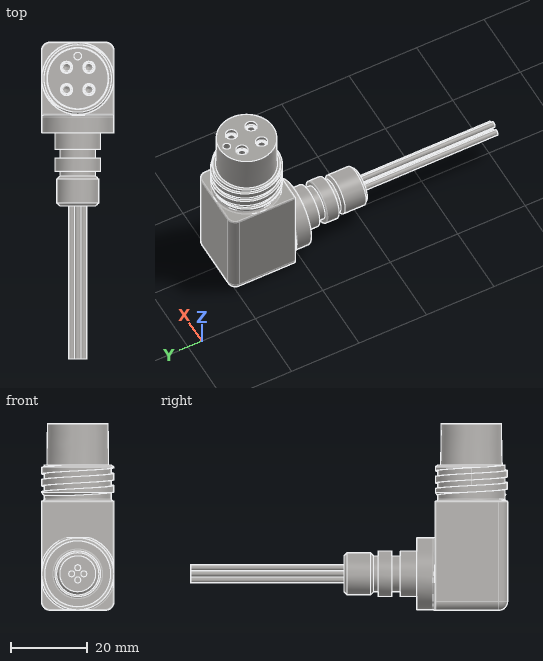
import cadquery as cq
import math


total_length = 82.85
total_height = 48.77

block_width = 19.05
half_width = block_width / 2
block_height = 28.575
block_round = 2.38
edge_round = 0.25

plug_dia = 15.88
root_dia = 17.63
thread_dia = 18.85
plug_base_dia = 16.2
base_flare = 0.5
collar_top = 38.0
thread_bottom = 30.0
thread_bottom_bevel = 0.75
thread_top_bevel = 0.5
thread_pitch = 3.175
thread_width = 1.7
thread_mid_back = 35.74
thread_turns = range(-2, 1)
thread_overlap = 0.4

socket_circle_dia = 8.255
socket_dia = 3.17
socket_depth = 1.3
contact_dia = 2.06
contact_depth = 8.0
shoulder_dia = 2.72
shoulder_height = 0.25
drill_tip_height = contact_dia / 2 * math.tan(math.radians(31))
key_dia = 1.98
key_depth = 3.0
key_offset = 5.86

cable_axis_z = 9.56
flange_dia = 18.85
flange_front = 14.29
recess_dia = 17.2
recess_depth = 0.75
rim_round = 0.15

relief_dia = 11.94
relief_root_fillet = 0.5
groove_dia = 9.4
groove_start = 18.6
groove_end = 20.75
rib_end = 24.35
nose_dia = 11.02
nose_chamfer = (nose_dia - groove_dia) / 2
nose_start = 25.5

wire_dia = 1.57
wire_circle_dia = 3.18
wire_length = 40.0
wire_end = total_length - half_width
nose_end = wire_end - wire_length


def along_cable(solid):
    """Turn a solid built on +Z so that it points to -Y on the cable axis."""
    return solid.rotate((0, 0, 0), (1, 0, 0), 90).translate((0, 0, cable_axis_z))


def flared_cylinder(radius, start, end, flare):
    """Cylinder along Z with a concave round at its start."""
    sag = flare * (1 - math.sqrt(0.5))
    return (
        cq.Workplane("XZ")
        .moveTo(0, start)
        .lineTo(radius + flare, start)
        .threePointArc((radius + sag, start + sag), (radius, start + flare))
        .lineTo(radius, end)
        .lineTo(0, end)
        .close()
        .revolve(360, (0, 0, 0), (0, 1, 0))
    )


def make_block():
    block = cq.Workplane("XY").box(block_width, block_width, block_height, centered=(True, True, False))
    block = block.edges("(|Z and >Y) or (<Z and (not <Y))").fillet(block_round)
    return block.faces("<Y or >Z").edges().fillet(edge_round)


def make_thread_turns():
    """Turns of a right-handed square tooth, trimmed to a cone at both ends."""
    root_radius = root_dia / 2
    crest_radius = thread_dia / 2
    inner_radius = root_radius - thread_overlap
    tooth_depth = crest_radius + thread_overlap - inner_radius
    helix = cq.Wire.makeHelix(thread_pitch, thread_pitch, inner_radius)
    one_turn = (
        cq.Workplane("XZ")
        .center(inner_radius + tooth_depth / 2, 0)
        .rect(tooth_depth, thread_width)
        .sweep(cq.Workplane(obj=helix), isFrenet=True)
        .rotate((0, 0, 0), (0, 0, 1), 90)
        .translate((0, 0, thread_mid_back))
    )
    envelope = (
        cq.Workplane("XZ")
        .moveTo(0, thread_bottom)
        .lineTo(root_radius, thread_bottom)
        .lineTo(crest_radius, thread_bottom + thread_bottom_bevel)
        .lineTo(crest_radius, collar_top - thread_top_bevel)
        .lineTo(root_radius, collar_top)
        .lineTo(0, collar_top)
        .close()
        .revolve(360, (0, 0, 0), (0, 1, 0))
    )
    return [envelope.intersect(one_turn.translate((0, 0, turn * thread_pitch))) for turn in thread_turns]


def make_plug():
    collar = flared_cylinder(root_dia / 2, block_height, collar_top, base_flare)
    plug = (
        cq.Workplane("XY")
        .workplane(offset=collar_top)
        .circle(plug_base_dia / 2)
        .workplane(offset=total_height - collar_top)
        .circle(plug_dia / 2)
        .loft(ruled=True)
    )
    for turn in make_thread_turns():
        collar = collar.union(turn)
    return collar.union(plug)


def make_socket():
    """Cutter for one socket: bore, tapered shoulder, contact bore and drill tip."""
    shoulder_top = total_height - socket_depth
    contact_bottom = total_height - contact_depth
    return (
        cq.Workplane("XZ")
        .moveTo(0, total_height)
        .lineTo(socket_dia / 2, total_height)
        .lineTo(socket_dia / 2, shoulder_top)
        .lineTo(shoulder_dia / 2, shoulder_top - shoulder_height)
        .lineTo(contact_dia / 2, shoulder_top - shoulder_height)
        .lineTo(contact_dia / 2, contact_bottom)
        .lineTo(0, contact_bottom - drill_tip_height)
        .close()
        .revolve(360, (0, 0, 0), (0, 1, 0))
    )


def cut_plug_holes(body):
    for index in range(4):
        angle = math.radians(45 + 90 * index)
        x = socket_circle_dia / 2 * math.cos(angle)
        y = socket_circle_dia / 2 * math.sin(angle)
        body = body.cut(make_socket().translate((x, y, 0)))
    key = (
        cq.Workplane("XY")
        .workplane(offset=total_height - key_depth)
        .center(0, key_offset)
        .circle(key_dia / 2)
        .extrude(key_depth)
    )
    return body.cut(key)


def make_flange():
    """Recessed flange whose flare is trimmed to the sides of the block."""
    flange = flared_cylinder(flange_dia / 2, half_width, flange_front, base_flare)
    recess = (
        cq.Workplane("XY")
        .workplane(offset=flange_front - recess_depth)
        .circle(recess_dia / 2)
        .extrude(recess_depth)
    )
    limits = cq.Workplane("XY").box(block_width, block_width, flange_front, centered=(True, True, False))
    flange = flange.cut(recess).faces(">Z").edges().fillet(rim_round)
    return along_cable(flange.intersect(limits))


def make_strain_relief():
    floor = flange_front - recess_depth
    relief_radius = relief_dia / 2
    groove_radius = groove_dia / 2
    nose_radius = nose_dia / 2
    fillet_sag = relief_root_fillet * (1 - math.sqrt(0.5))
    relief = (
        cq.Workplane("XZ")
        .moveTo(0, half_width)
        .lineTo(relief_radius + relief_root_fillet, half_width)
        .lineTo(relief_radius + relief_root_fillet, floor)
        .threePointArc(
            (relief_radius + fillet_sag, floor + fillet_sag),
            (relief_radius, floor + relief_root_fillet),
        )
        .lineTo(relief_radius, groove_start)
        .lineTo(groove_radius, groove_start)
        .lineTo(groove_radius, groove_end)
        .lineTo(relief_radius, groove_end)
        .lineTo(relief_radius, rib_end)
        .lineTo(groove_radius, rib_end)
        .lineTo(groove_radius, nose_start)
        .lineTo(nose_radius, nose_start + nose_chamfer)
        .lineTo(nose_radius, nose_end - nose_chamfer)
        .lineTo(nose_radius - nose_chamfer, nose_end)
        .lineTo(0, nose_end)
        .close()
        .revolve(360, (0, 0, 0), (0, 1, 0))
    )
    ring_zone = cq.selectors.BoxSelector((-1, -1, groove_start - rim_round), (1, 1, rib_end + rim_round))
    ring_circles = relief.edges("%CIRCLE").edges(ring_zone)
    relief = ring_circles.edges(cq.selectors.RadiusNthSelector(-1)).fillet(rim_round)
    return along_cable(relief)


def make_wires():
    wires = (
        cq.Workplane("XY")
        .workplane(offset=nose_end)
        .polarArray(wire_circle_dia / 2, 0, 360, 4)
        .circle(wire_dia / 2)
        .extrude(wire_length)
    )
    return along_cable(wires)


body = make_block().union(make_plug())
body = cut_plug_holes(body)
result = body.union(make_flange()).union(make_strain_relief()).union(make_wires())